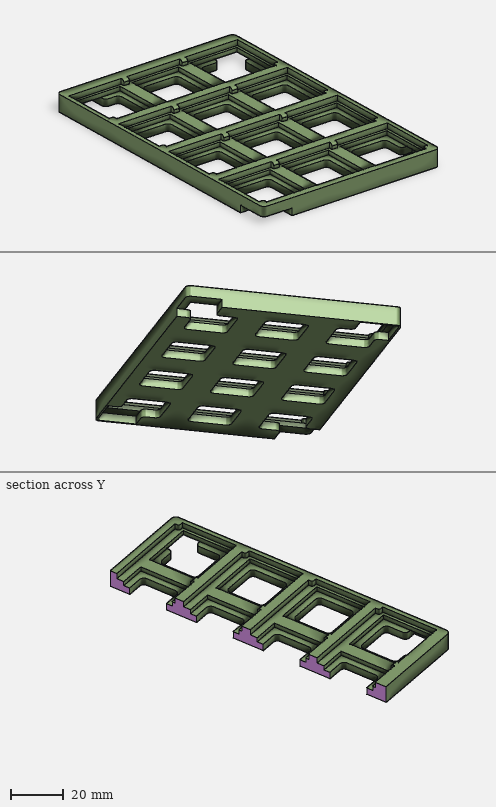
import cadquery as cq
length = 128.0
width = 85.0
height = 7.5
corner_radius = 2.0

columns = 4
rows = 3
column_pitch = 31.0
row_pitch = 28.0
pocket_size = 22.4
channel_border = 1.3
opening_size = 17.0
opening_radius = 1.9

ledge_top = 3.2
channel_floor = 5.1

widening = 1.9
widening_setback = 2.2
widening_radius = 0.9

stop_length = 2.7
stop_flat = 0.5
stop_slope = 1.2
stop_toe_height = 1.4
stop_bulge = 0.19

relief_height = ledge_top
notch_size = 14.0
recess_size = 16.3
recess_wall = 0.8
ledge_end_radius = 1.9

pick_margin = 0.1

column_centers = [(i - (columns - 1) / 2) * column_pitch for i in range(columns)]
row_centers = [(j - (rows - 1) / 2) * row_pitch for j in range(rows)]
rib_centers = [(a + b) / 2 for a, b in zip(row_centers, row_centers[1:])]
pocket_centers = [(x, y) for x in column_centers for y in row_centers]

channel_half_x = pocket_size / 2 + channel_border
channel_half_y = row_centers[-1] + channel_half_x


def box(x_min, x_max, y_min, y_max, z_min, z_max):
    """Axis-aligned block given by its limits."""
    block = cq.Workplane("XY").box(x_max - x_min, y_max - y_min, z_max - z_min, centered=False)
    return block.translate((x_min, y_min, z_min))


def fillet_vertical_edge(body, x, y, radius):
    """Round the vertical edges that stand at the plan point (x, y)."""
    picker = cq.selectors.BoxSelector(
        (x - pick_margin, y - pick_margin, 0),
        (x + pick_margin, y + pick_margin, height),
    )
    return body.edges("|Z").edges(picker).fillet(radius)


def channel(x):
    """Long channel over one column of pockets, with its widening."""
    step_x = x + channel_half_x
    step_y = channel_half_y - widening_setback
    main = box(x - channel_half_x, step_x, -channel_half_y, channel_half_y, channel_floor, height)
    side = box(x, step_x + widening, -step_y, step_y, channel_floor, height)
    cutter = main.union(side)
    for y in (-step_y, step_y):
        cutter = fillet_vertical_edge(cutter, step_x, y, widening_radius)
    return cutter


def stop(x, y):
    """Stop flush with the rim at the wall, falling in a rounded slope to a short upright toe."""
    wall = x - channel_half_x
    slope_start = wall + stop_flat
    toe = slope_start + stop_slope
    profile = (
        cq.Workplane("XZ", origin=(0, y + stop_length / 2, 0))
        .moveTo(wall, channel_floor)
        .lineTo(wall, height)
        .lineTo(slope_start, height)
        .sagittaArc((toe, channel_floor + stop_toe_height), stop_bulge)
        .lineTo(toe, channel_floor)
        .close()
    )
    return profile.extrude(stop_length)


def corner_relief(x_sign, y_sign, size, wall):
    """Block reaching `size` in from the plate sides, leaving an outer wall of the given thickness."""
    outer_x = x_sign * (length / 2 - wall)
    outer_y = y_sign * (width / 2 - wall)
    xs = sorted((x_sign * (length / 2 - size), outer_x))
    ys = sorted((y_sign * (width / 2 - size), outer_y))
    block = box(*xs, *ys, 0, relief_height)
    return fillet_vertical_edge(block, outer_x, outer_y, corner_radius - wall)


def round_ledge_ends(body, x_sign, y_sign, size):
    """Round the free corners of the two ledges that a corner relief cuts short."""
    opening_edge_x = x_sign * (column_centers[-1] + opening_size / 2)
    opening_edge_y = y_sign * (row_centers[-1] + opening_size / 2)
    body = fillet_vertical_edge(body, x_sign * (length / 2 - size), opening_edge_y, ledge_end_radius)
    return fillet_vertical_edge(body, opening_edge_x, y_sign * (width / 2 - size), ledge_end_radius)


plate = cq.Workplane("XY").box(length, width, height, centered=(True, True, False))
plate = plate.edges("|Z").fillet(corner_radius)

for column_x in column_centers:
    plate = plate.cut(channel(column_x))

pockets = cq.Workplane("XY").workplane(offset=ledge_top).pushPoints(pocket_centers)
plate = plate.cut(pockets.rect(pocket_size, pocket_size).extrude(height - ledge_top))

openings = cq.Workplane("XY").pushPoints(pocket_centers).rect(opening_size, opening_size).extrude(height)
plate = plate.cut(openings.edges("|Z").fillet(opening_radius))

for column_x in column_centers:
    for rib_y in rib_centers:
        plate = plate.union(stop(column_x, rib_y))

corner_reliefs = [
    (-1, 1, notch_size, 0),
    (1, -1, notch_size, 0),
    (1, 1, recess_size, recess_wall),
    (-1, -1, recess_size, recess_wall),
]
for x_sign, y_sign, size, wall in corner_reliefs:
    plate = plate.cut(corner_relief(x_sign, y_sign, size, wall))
    plate = round_ledge_ends(plate, x_sign, y_sign, size)

result = plate